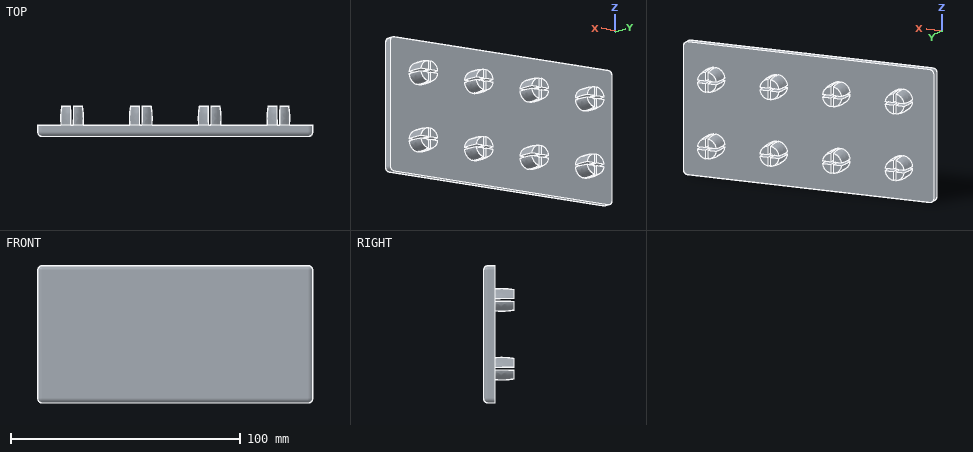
import cadquery as cq
import math

plate_length = 120.0
plate_height = 60.0
plate_thickness = 5.0
edge_radius = 2.0

peg_pitch = 30.0
peg_columns = 4
peg_rows = 2
peg_length = 8.3
peg_tip_radius = 4.5
peg_bulge_radius = 5.0
bulge_height = 3.0
slot_tip_width = 1.2
slot_root_width = 1.0

back_y = plate_thickness
bulge_y = back_y + bulge_height
tip_y = back_y + peg_length

bulge_to_tip = tip_y - bulge_y
bulge_drop = peg_bulge_radius - peg_tip_radius
side_arc_radius = (bulge_to_tip**2 + bulge_drop**2) / (2 * bulge_drop)
peg_root_radius = peg_bulge_radius - side_arc_radius + math.sqrt(side_arc_radius**2 - bulge_height**2)


def make_plate():
    """Flat plate with rounded corners and a rounded front rim."""
    plate = cq.Workplane("XY").box(
        plate_length, plate_thickness, plate_height, centered=(True, False, True)
    )
    return plate.edges("|Y").fillet(edge_radius).faces("<Y").edges().fillet(edge_radius)


def make_slot():
    """Slot across a peg in the X direction, narrowing from the tip to the root."""
    return (
        cq.Workplane("YZ")
        .moveTo(back_y, -slot_root_width / 2)
        .lineTo(tip_y, -slot_tip_width / 2)
        .lineTo(tip_y, slot_tip_width / 2)
        .lineTo(back_y, slot_root_width / 2)
        .close()
        .extrude(peg_bulge_radius, both=True)
    )


def make_peg():
    """Barrel-shaped peg split into four prongs by two crossing slots."""
    barrel = (
        cq.Workplane("XY")
        .moveTo(0, back_y)
        .lineTo(peg_root_radius, back_y)
        .threePointArc((peg_bulge_radius, bulge_y), (peg_tip_radius, tip_y))
        .lineTo(0, tip_y)
        .close()
        .revolve(360, (0, 0, 0), (0, 1, 0))
    )
    slot = make_slot()
    crossing_slot = slot.rotate((0, 0, 0), (0, 1, 0), 90)
    return barrel.cut(slot).cut(crossing_slot)


result = make_plate()
peg = make_peg()
for column in range(peg_columns):
    for row in range(peg_rows):
        x = (column - (peg_columns - 1) / 2) * peg_pitch
        z = (row - (peg_rows - 1) / 2) * peg_pitch
        result = result.union(peg.translate((x, 0, z)))